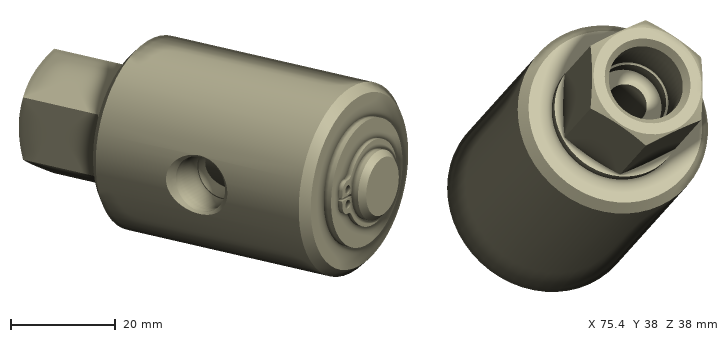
import cadquery as cq
import math


total_length = 75.4
hex_end = 19.15
body_start = 20.95
body_end = 70.2
collar_end = 71.85
ring_end = 72.8

body_diameter = 38.0
body_chamfer = 1.65
collar_diameter = 25.4
shaft_diameter = 13.9
shaft_chamfer = 1.1

hex_corners = 25.5
hex_face_diameter = 21.6
hex_chamfer_angle = 30

bore_diameter = 14.8
bore_depth = 10.55
bore_mouth_diameter = 17.1
bore_step_diameter = 13.9
bore_step_depth = 13.6
passage_diameter = 8.0
passage_depth = 45.25
drill_point_angle = 118

port_x = 45.5
port_diameter = 11.15
port_step_diameter = 10.7
port_step_depth = 9.05
port_mouth_diameter = 13.9
core_diameter = 15.1

ring_radius = 8.6
ring_offset = 0.6
ring_gap = 0.6
lug_eye_z = 1.5
lug_eye_diameter = 1.7
lug_radius = 1.9
lug_fillet = 1.6


def disc(start, end, diameter):
    """Cylinder on the X axis between two stations."""
    return cq.Workplane("YZ", origin=(start, 0, 0)).circle(diameter / 2).extrude(end - start)


def make_hex():
    """Hexagon with its corners turned off conically at both ends."""
    prism = (
        cq.Workplane("YZ")
        .polygon(6, hex_corners)
        .extrude(hex_end)
        .rotate((0, 0, 0), (1, 0, 0), 90)
    )
    corner_radius = hex_corners / 2
    face_radius = hex_face_diameter / 2
    chamfer_length = (corner_radius - face_radius) * math.tan(math.radians(hex_chamfer_angle))
    envelope = (
        cq.Workplane("XY")
        .moveTo(0, 0)
        .lineTo(0, face_radius)
        .lineTo(chamfer_length, corner_radius)
        .lineTo(hex_end - chamfer_length, corner_radius)
        .lineTo(hex_end, face_radius)
        .lineTo(hex_end, 0)
        .close()
        .revolve(360, (0, 0, 0), (1, 0, 0))
    )
    return prism.intersect(envelope)


def make_bore():
    """Tool shape for the chamfered, stepped bore with a drill point at its end."""
    bore_radius = bore_diameter / 2
    mouth_radius = bore_mouth_diameter / 2
    step_radius = bore_step_diameter / 2
    passage_radius = passage_diameter / 2
    point_length = passage_radius / math.tan(math.radians(drill_point_angle / 2))
    return (
        cq.Workplane("XY")
        .moveTo(0, 0)
        .lineTo(0, mouth_radius)
        .lineTo(mouth_radius - bore_radius, bore_radius)
        .lineTo(bore_depth, bore_radius)
        .lineTo(bore_depth, step_radius)
        .lineTo(bore_step_depth, step_radius)
        .lineTo(bore_step_depth, passage_radius)
        .lineTo(passage_depth, passage_radius)
        .lineTo(passage_depth + point_length, 0)
        .close()
        .revolve(360, (0, 0, 0), (1, 0, 0))
    )


def make_port():
    """Tool shape for the countersunk, stepped port, stopping at the round core."""
    port_radius = port_diameter / 2
    mouth_radius = port_mouth_diameter / 2
    step_radius = port_step_diameter / 2
    surface_y = -body_diameter / 2
    step_y = surface_y + port_step_depth
    tool = (
        cq.Workplane("XY", origin=(port_x, 0, 0))
        .moveTo(0, 0)
        .lineTo(step_radius, 0)
        .lineTo(step_radius, step_y)
        .lineTo(port_radius, step_y)
        .lineTo(port_radius, surface_y + mouth_radius - port_radius)
        .lineTo(mouth_radius, surface_y)
        .lineTo(0, surface_y)
        .close()
        .revolve(360, (0, 0, 0), (0, 1, 0))
    )
    return tool.cut(disc(body_start, body_end, core_diameter))


def make_retaining_ring():
    """Eccentric ring with two filleted, drilled lugs either side of its gap."""
    thickness = ring_end - collar_end
    plane = cq.Workplane("YZ", origin=(collar_end, 0, 0))
    ring = plane.center(ring_offset, 0).circle(ring_radius).extrude(thickness)

    lug_side_z = lug_eye_z + lug_radius
    fillet_z = lug_side_z + lug_fillet
    centre_distance = ring_radius + lug_fillet
    fillet_angle = math.asin(fillet_z / centre_distance)
    eye_y = ring_offset - centre_distance * math.cos(fillet_angle)
    ring_touch = (
        ring_offset - ring_radius * math.cos(fillet_angle),
        ring_radius * math.sin(fillet_angle),
    )
    fillet_mid_angle = (math.pi / 2 - fillet_angle) / 2 + fillet_angle
    fillet_mid = (
        eye_y + lug_fillet * math.cos(fillet_mid_angle),
        fillet_z - lug_fillet * math.sin(fillet_mid_angle),
    )

    eye_distance = math.hypot(eye_y, lug_eye_z)
    tip_radius = eye_distance + lug_radius
    tip_angle = math.asin(lug_eye_z / eye_distance)
    tip_end = (-tip_radius * math.cos(tip_angle), tip_radius * math.sin(tip_angle))
    tip_mid = (-tip_radius * math.cos(tip_angle / 2), tip_radius * math.sin(tip_angle / 2))
    round_mid_angle = (math.pi / 2 + tip_angle) / 2
    round_mid = (
        eye_y - lug_radius * math.cos(round_mid_angle),
        lug_eye_z + lug_radius * math.sin(round_mid_angle),
    )
    lug = (
        plane.moveTo(0, 0)
        .lineTo(*ring_touch)
        .threePointArc(fillet_mid, (eye_y, lug_side_z))
        .threePointArc(round_mid, tip_end)
        .threePointArc(tip_mid, (-tip_radius, 0))
        .close()
        .extrude(thickness)
    )
    ring = ring.union(lug).union(lug.mirror("XY"))

    eyes = (
        plane.pushPoints([(eye_y, lug_eye_z), (eye_y, -lug_eye_z)])
        .circle(lug_eye_diameter / 2)
        .extrude(thickness)
    )
    gap = plane.center(-tip_radius / 2, 0).rect(tip_radius, ring_gap).extrude(thickness)
    return ring.cut(eyes).cut(gap)


collars = disc(hex_end, collar_end, collar_diameter)
body = disc(body_start, body_end, body_diameter).edges().chamfer(body_chamfer)
shaft_end = disc(body_end, total_length, shaft_diameter).faces(">X").chamfer(shaft_chamfer)

result = (
    make_hex()
    .union(collars)
    .union(body)
    .union(make_retaining_ring())
    .union(shaft_end)
    .cut(make_bore())
    .cut(make_port())
)